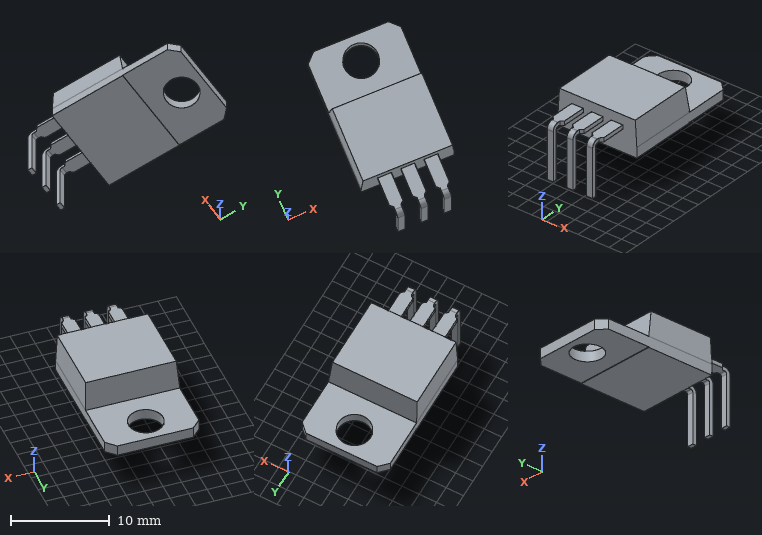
import cadquery as cq

total_length = 19.55
width = 10.2

body_length = 8.62
body_height = 4.48
body_side_inset = 0.2
body_back_inset = 0.49

tab_bottom = 0.05
tab_top = 1.3
tab_corner = 1.0
hole_diameter = 3.7
hole_to_tab_end = 2.72

lead_count = 3
lead_pitch = 2.55
lead_reach = 4.45
lead_drop = 3.48
lead_top = 3.28
lead_thickness = 0.5
lead_wide = 1.5
lead_narrow = 0.8
lead_bend_radius = 0.76
shoulder_start = 3.09
shoulder_end = 3.4

tab_end = total_length - lead_reach


def make_body():
    """Block with an upright base and an upper part that leans in at the sides and back."""
    base = cq.Workplane("XY").box(width, body_length, tab_top, centered=(True, False, False))
    top_length = body_length - body_back_inset
    upper = (
        cq.Workplane("XY", origin=(0, 0, tab_top))
        .center(0, body_length / 2)
        .rect(width, body_length)
        .workplane(offset=body_height - tab_top)
        .center(0, -body_back_inset / 2)
        .rect(width - 2 * body_side_inset, top_length)
        .loft(ruled=True)
    )
    return base.union(upper)


def make_tab():
    """Flat mounting tab with cut corners and a through hole."""
    half_width = width / 2
    return (
        cq.Workplane("XY", origin=(0, 0, tab_bottom))
        .moveTo(-half_width, 0)
        .lineTo(half_width, 0)
        .lineTo(half_width, tab_end - tab_corner)
        .lineTo(half_width - tab_corner, tab_end)
        .lineTo(tab_corner - half_width, tab_end)
        .lineTo(-half_width, tab_end - tab_corner)
        .close()
        .moveTo(0, tab_end - hole_to_tab_end)
        .circle(hole_diameter / 2)
        .extrude(tab_top - tab_bottom)
    )


def make_lead(x):
    """Strip bent downwards, cut to a wide root and a narrow tip."""
    inner_radius = lead_bend_radius - lead_thickness
    bend_y = lead_bend_radius - lead_reach
    bend_z = lead_top - lead_bend_radius
    bent_strip = (
        cq.Workplane("YZ", origin=(x - lead_wide / 2, 0, 0))
        .moveTo(0, lead_top)
        .lineTo(bend_y, lead_top)
        .radiusArc((-lead_reach, bend_z), -lead_bend_radius)
        .lineTo(-lead_reach, -lead_drop)
        .lineTo(lead_thickness - lead_reach, -lead_drop)
        .lineTo(lead_thickness - lead_reach, bend_z)
        .radiusArc((bend_y, lead_top - lead_thickness), inner_radius)
        .lineTo(0, lead_top - lead_thickness)
        .close()
        .extrude(lead_wide)
    )
    plan_outline = (
        cq.Workplane("XY", origin=(x, 0, -lead_drop))
        .moveTo(lead_wide / 2, 0)
        .lineTo(lead_wide / 2, -shoulder_start)
        .lineTo(lead_narrow / 2, -shoulder_end)
        .lineTo(lead_narrow / 2, -lead_reach)
        .lineTo(-lead_narrow / 2, -lead_reach)
        .lineTo(-lead_narrow / 2, -shoulder_end)
        .lineTo(-lead_wide / 2, -shoulder_start)
        .lineTo(-lead_wide / 2, 0)
        .close()
        .extrude(lead_drop + lead_top)
    )
    return bent_strip.intersect(plan_outline)


result = make_body().union(make_tab())
for index in range(lead_count):
    lead_x = (index - (lead_count - 1) / 2) * lead_pitch
    result = result.union(make_lead(lead_x))